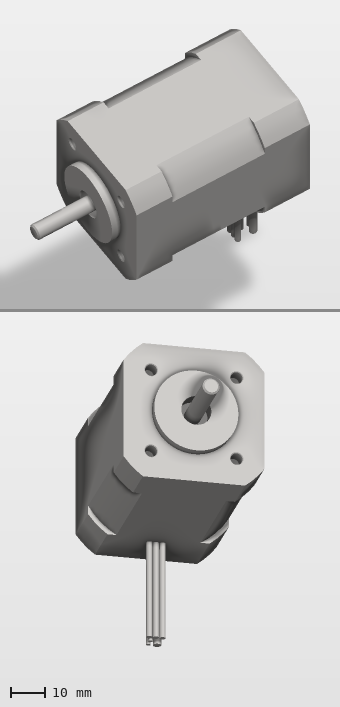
import cadquery as cq

body_width = 42.0
body_length = 60.4
end_flat_width = 30.45
middle_flat_width = 25.1
front_cap_length = 12.5
rear_cap_length = 15.7

boss_diameter = 25.1
boss_height = 3.0
bore_diameter = 9.0
bore_depth = 5.0

overall_length = 82.3
shaft_diameter = 5.0
shaft_chamfer = 0.5

hole_spacing = 25.5
hole_diameter = 3.5
hole_mouth_diameter = 4.0
hole_depth = 4.5
drill_tip_depth = 1.0

overall_height = 71.8
wire_end_z = body_width / 2 - overall_height
wire_root_z = 0.0
front_wire_diameter = 1.8
front_wire_pitch = 2.0
front_wire_y = 47.9
thin_wire_diameter = 1.3
thin_wire_x = -0.9
thin_wire_places_y = (50.95, 53.6)
thick_wire_diameter = 2.5
thick_wire_x = 1.65
thick_wire_y = 53.4


def cylinder_along_y(diameter, y_start, y_end):
    plane = cq.Workplane("XZ", origin=(0, y_start, 0))
    return plane.circle(diameter / 2).extrude(y_start - y_end)


def rounded_corner_block(flat_width, y_start, y_end):
    """Square block whose corners are cut by a cylinder on the motor axis."""
    corner_diameter = (body_width**2 + flat_width**2) ** 0.5
    plane = cq.Workplane("XZ", origin=(0, y_start, 0))
    block = plane.rect(body_width, body_width).extrude(y_start - y_end)
    return block.intersect(cylinder_along_y(corner_diameter, y_start, y_end))


def make_body():
    middle_end = body_length - rear_cap_length
    front_cap = rounded_corner_block(end_flat_width, 0, front_cap_length)
    middle = rounded_corner_block(middle_flat_width, front_cap_length, middle_end)
    rear_cap = rounded_corner_block(end_flat_width, middle_end, body_length)
    return front_cap.union(middle).union(rear_cap)


def mounting_hole():
    """Drilled hole with a chamfered mouth and a conical bottom."""
    radius = hole_diameter / 2
    mouth_radius = hole_mouth_diameter / 2
    chamfer = mouth_radius - radius
    profile = [
        (0, 0),
        (mouth_radius, 0),
        (radius, chamfer),
        (radius, hole_depth),
        (0, hole_depth + drill_tip_depth),
    ]
    return cq.Workplane("XY").polyline(profile).close().revolve(360, (0, 0, 0), (0, 1, 0))


def make_shaft():
    tip_y = body_length - overall_length
    shaft = cylinder_along_y(shaft_diameter, tip_y, front_cap_length)
    return shaft.faces("<Y").chamfer(shaft_chamfer)


def wire(diameter, x, y):
    plane = cq.Workplane("XY", origin=(x, y, wire_end_z))
    return plane.circle(diameter / 2).extrude(wire_root_z - wire_end_z)


result = make_body()

result = result.union(cylinder_along_y(boss_diameter, -boss_height, 0))
result = result.cut(cylinder_along_y(bore_diameter, -boss_height, bore_depth - boss_height))
result = result.union(make_shaft())

for side_x in (-1, 1):
    for side_z in (-1, 1):
        result = result.cut(
            mounting_hole().translate((side_x * hole_spacing / 2, 0, side_z * hole_spacing / 2))
        )

for column in (-1, 0, 1):
    result = result.union(wire(front_wire_diameter, column * front_wire_pitch, front_wire_y))
for thin_wire_y in thin_wire_places_y:
    result = result.union(wire(thin_wire_diameter, thin_wire_x, thin_wire_y))
result = result.union(wire(thick_wire_diameter, thick_wire_x, thick_wire_y))